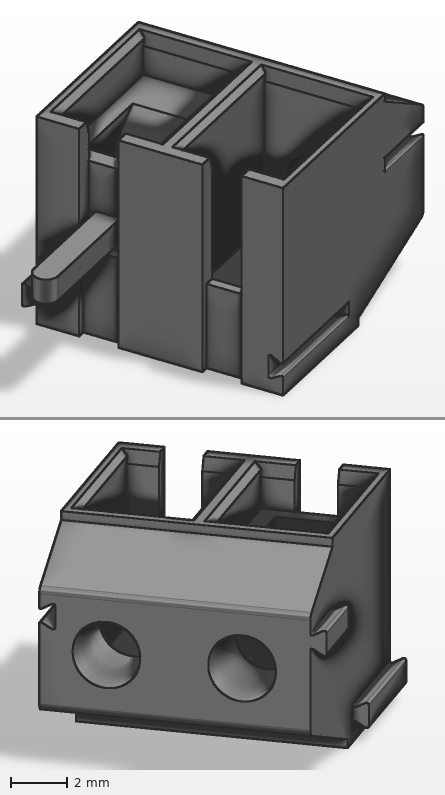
import cadquery as cq
import math

pitch = 5.0
pole_count = 2
body_width = pole_count * pitch
body_depth = 10.21
body_height = 8.6

lip = 0.33
roof_start = 7.4
roof_angle = 30
belly_start = 5.5
belly_angle = 20.7
back_edge_radius = 0.29

cavity_spans = [(0.54, 4.57), (5.45, 9.51)]
rim_spans = [(0.28, 4.83), (5.22, 9.75)]
cavity_front = 0.71
cavity_back = 6.79
rim_front = 0.54
rim_back = 6.99
end_rim_depth = 0.51
side_rim_depth = 0.25
cavity_floor = 2.13
ledge_height = 6.9
ledge_width = 0.09

first_slot_center = 2.52
slot_width = 1.6
slot_recess = 0.3
sill_height = 3.5

hole_diameter = 2.5
hole_height = 4.41

clamp_center = 2.51
pocket_width = 2.64
pocket_front = 1.4
pocket_back = 4.87
ramp_run = 1.67
ramp_radius = 3.19

pin_width = 1.0
pin_height = 4.4
pin_reach = 4.29

dovetail_depth = 0.6
dovetail_head = 1.07
dovetail_root = 0.42
dovetail_head_radius = 0.09
dovetail_root_radius = 0.06
backing_depth = 0.15
backing_height = 0.87
lower_dovetail = {"height": 1.05, "front": 0, "back": 4.8}
upper_dovetail = {"height": 5.65, "front": roof_start, "back": body_depth}


def box(x0, x1, y0, y1, z0, z1):
    return cq.Workplane("XY").box(x1 - x0, y1 - y0, z1 - z0, centered=False).translate((x0, y0, z0))


def housing():
    belly_rise = (body_depth - belly_start) * math.tan(math.radians(belly_angle))
    roof_drop = (body_depth - roof_start) * math.tan(math.radians(roof_angle))
    outline = [
        (0, 0),
        (belly_start, 0),
        (belly_start, lip),
        (body_depth, lip + belly_rise),
        (body_depth, body_height - lip - roof_drop),
        (roof_start, body_height - lip),
        (roof_start, body_height),
        (0, body_height),
    ]
    solid = cq.Workplane("YZ").polyline(outline).close().extrude(body_width)
    return solid.faces(">Y").edges("|X").fillet(back_edge_radius)


def flared_section(plane, inner, rim, depth, floor, length):
    """Prism of a well section that stands upright and then flares out to the rim."""
    near, far = inner
    rim_near, rim_far = rim
    outline = [
        (near, floor),
        (far, floor),
        (far, body_height - depth),
        (rim_far, body_height),
        (rim_near, body_height),
        (near, body_height - depth),
    ]
    return cq.Workplane(plane).polyline(outline).close().extrude(length)


def cavity(span, rim_span, floor):
    """Well bounded by its lengthwise and its crosswise flared sections."""
    crosswise = flared_section("XZ", span, rim_span, side_rim_depth, floor, -body_depth)
    lengthwise = flared_section(
        "YZ", (cavity_front, cavity_back), (rim_front, rim_back), end_rim_depth, floor, body_width
    )
    return crosswise.intersect(lengthwise)


def front_slot(center):
    """Shallow full-height recess that breaks into the cavity above the sill."""
    x0 = center - slot_width / 2
    x1 = center + slot_width / 2
    recess = box(x0, x1, 0, slot_recess, 0, body_height)
    opening = box(x0, x1, 0, cavity_front, sill_height, body_height)
    return recess.union(opening)


def wire_hole(center):
    return (
        cq.Workplane("XZ", origin=(center, body_depth, hole_height))
        .circle(hole_diameter / 2)
        .extrude(body_depth - cavity_back)
    )


def clamp_pocket():
    """Pocket with a flat floor and a convex ramp that becomes upright at the floor."""
    ramp_end = pocket_back - ramp_run
    axis_y = ramp_end + ramp_radius
    top_angle = math.acos((axis_y - pocket_back) / ramp_radius)
    axis_z = ledge_height - ramp_radius * math.sin(top_angle)
    arc_middle = (
        axis_y - ramp_radius * math.cos(top_angle / 2),
        axis_z + ramp_radius * math.sin(top_angle / 2),
    )
    return (
        cq.Workplane("YZ", origin=(clamp_center - pocket_width / 2, 0, 0))
        .moveTo(pocket_back, ledge_height)
        .threePointArc(arc_middle, (ramp_end, axis_z))
        .lineTo(pocket_front, axis_z)
        .lineTo(pocket_front, ledge_height)
        .close()
        .extrude(pocket_width)
    )


def pin():
    """Square bar with a rounded tip, rooted in the clamp block."""
    radius = pin_width / 2
    shoulder = -pin_reach + radius
    x = clamp_center
    return (
        cq.Workplane("XY", origin=(0, 0, pin_height - pin_width / 2))
        .moveTo(x - radius, cavity_front)
        .lineTo(x - radius, shoulder)
        .threePointArc((x, -pin_reach), (x + radius, shoulder))
        .lineTo(x + radius, cavity_front)
        .close()
        .extrude(pin_width)
    )


def dovetail(side_x, place):
    """Dovetail pointing to -X from the plane X = side_x, with a backing strip on the +X side."""
    head = dovetail_head / 2
    root = dovetail_root / 2
    edge = backing_height / 2
    outline = [
        (-dovetail_depth, -head),
        (0, -root),
        (0, -edge),
        (backing_depth, -edge),
        (backing_depth, edge),
        (0, edge),
        (0, root),
        (-dovetail_depth, head),
    ]
    length = place["back"] - place["front"]
    middle = length / 2
    bar = cq.Workplane("XZ").polyline(outline).close().extrude(-length)
    bar = bar.faces("<X").edges("|Y").fillet(dovetail_head_radius)
    for z in (-root, root):
        bar = bar.edges(cq.selectors.NearestToPointSelector((0, middle, z))).fillet(dovetail_root_radius)
    return bar.translate((side_x, place["front"], place["height"]))


result = housing()

result = result.cut(cavity(cavity_spans[0], rim_spans[0], ledge_height))
result = result.cut(clamp_pocket())

well_x0, well_x1 = cavity_spans[1]
result = result.cut(cavity(cavity_spans[1], rim_spans[1], ledge_height))
result = result.cut(
    box(well_x0, well_x1 - ledge_width, cavity_front, cavity_back, cavity_floor, ledge_height)
)

for pole in range(pole_count):
    slot_center = first_slot_center + pole * pitch
    result = result.cut(front_slot(slot_center))
    result = result.cut(wire_hole(slot_center))

result = result.union(pin())

for place in (lower_dovetail, upper_dovetail):
    result = result.union(dovetail(0, place))
    result = result.cut(dovetail(body_width, place))